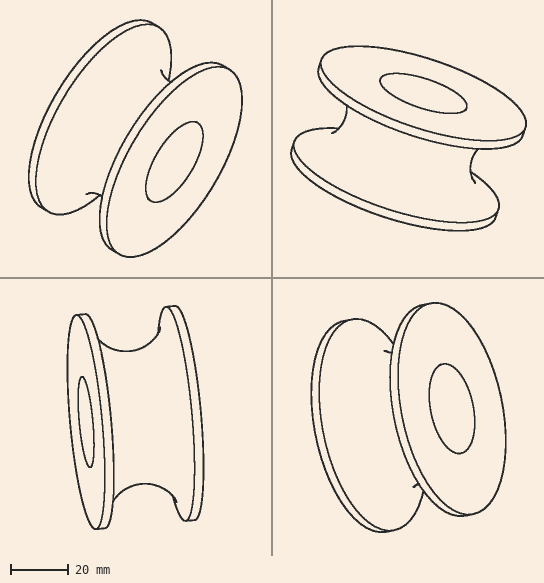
import cadquery as cq

outer_diameter = 75.0
bore_diameter = 31.7
width = 34.95
groove_radius = 14.25

outer_radius = outer_diameter / 2
bore_radius = bore_diameter / 2
half_width = width / 2

section = (
    cq.Workplane("XY")
    .moveTo(-half_width, bore_radius)
    .lineTo(half_width, bore_radius)
    .lineTo(half_width, outer_radius)
    .lineTo(groove_radius, outer_radius)
    .threePointArc((0, outer_radius - groove_radius), (-groove_radius, outer_radius))
    .lineTo(-half_width, outer_radius)
    .close()
)

result = section.revolve(360, (0, 0, 0), (1, 0, 0))